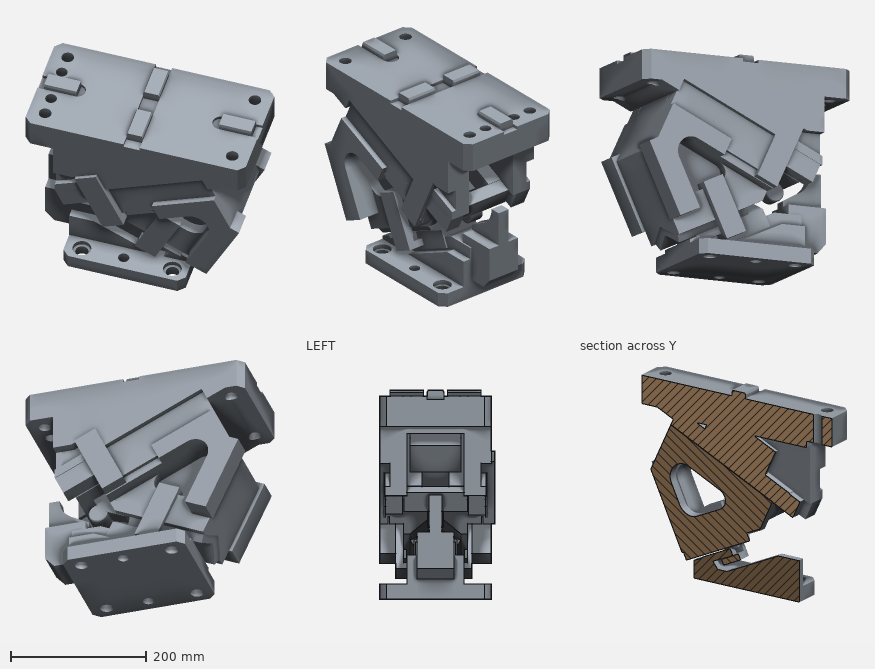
import cadquery as cq
import math



SLOPE = 25.0
TOTAL_HEIGHT = 309.0
PLATE_WIDTH = 165.0
PLATE_HALF = PLATE_WIDTH / 2
PLATE_CORNER = 10.2
FAR = 408.0

HOLDER_LENGTH = 340.0
HOLDER_TOP = 300.2
HOLDER_PLATE_BOTTOM = 255.0
LEG_LEFT_X = -124.5
RAIL_TOP = 190.7
RAIL_BOTTOM = 160.0
RAIL_START = -48.0
FAR_RAIL_START = -45.5
RAIL_END = 205.7
RAIL_INNER = 48.5
RAIL_OUTER = 73.8
LEG_OUTER = 74.8
TAIL_BOTTOM = 171.0
GROOVE_BOTTOM = 203.5
GROOVE_TOP = 222.7
GROOVE_FLOOR_Y = 67.3
GROOVE_ENTRY_TOP = 201.0
CHANNEL_HALF = 42.0
CHANNEL_ROOF = 244.8
CENTRE_RAIL_HALF = 47.0
CENTRE_RAIL_START = -35.7
LIP_END = -15.0
CHANNEL_FLOOR = 191.8
SLOT_END = 34.5
SLOT_HALF = 19.7
STOP_START = 33.3
STOP_END = 153.0
STOP_HALF = 37.5
STOP_TOP = 235.3

KEYWAY_FLOOR = 295.0
KEY_WIDTH = 25.0
KEY_LENGTH = 50.0
KEY_CHAMFER_INSET = 1.7
KEY_CHAMFER_DROP = 3.5
CROSS_KEYWAY_X = -3.5
CROSS_KEY_Y = 42.5
END_KEY_X = 135.0
KEYWAY_ROUND_X = {-1: -112.2, 1: 109.5}

BOLT_X = 144.5
BOLT_Y = 57.5
BOLT_DIAMETER = 18.7
DOWEL_Y = 27.2
DOWEL_DIAMETER = 17.5

SLIDER_START = 4.8
SHOULDER_HALF = RAIL_OUTER
SHOULDER_BOTTOM = 132.3
STEP_HALF = 67.5
STEP_BOTTOM = 120.7
CORE_HALF = 47.3
CORE_BOTTOM = 70.7
CORE_END = 74.0
WING_ARM_START = 100.0
WING_ARM_TOP = 148.2
WING_START = 44.0
WING_END = 79.2
WING_BOTTOM = 95.2
WING_TOP = 215.0
WING_ROUND = 23.5
POCKET_BOTTOM = 119.7
POCKET_END = 46.0
POCKET_LEFT_ROUND = 16.3
POCKET_DEPTH = 17.0
V_PLATE_START = -54.5
V_PLATE_END = 71.5
V_PLATE_THICKNESS = 12.5
PULL_HOOK_HALF = 12.0
PULL_HOOK_ROOT = 8.5
PULL_HOOK_X = -77.2
PULL_HOOK_Z = 120.5
PULL_HOOK_RADIUS = 14.5
PULL_HOOK_CHAMFER = 1.5
PULL_HOOK_TOP = 156.5
PULL_HOOK_BOTTOM = 82.0

UPPER_KEEPER_END = 40.5
UPPER_KEEPER_INNER = 75.8
KEEPER_EXTRA = 5.0
UPPER_KEEPER_OUTER = {-1: PLATE_HALF + KEEPER_EXTRA, 1: PLATE_HALF}
UPPER_KEEPER_HOOK_Y = 70.0
LOWER_KEEPER_START = -25.5
LOWER_KEEPER_END = 9.0
LOWER_KEEPER_BOTTOM = 38.0
LOWER_KEEPER_TOP = 129.0
LOWER_KEEPER_HALF = 53.7
LOWER_KEEPER_OUTER = {-1: LOWER_KEEPER_HALF, 1: LOWER_KEEPER_HALF + KEEPER_EXTRA}
LOWER_KEEPER_ROOT_Y = 36.0
LOWER_PAD_INSET = 3.7
LOWER_PAD_BOTTOM = 56.0
LOWER_PAD_INNER = 42.5

BASE_LEFT_X = -112.0
BASE_RIGHT_X = 77.2
BASE_HEIGHT = 22.8
PEDESTAL_HALF = 42.0
PEDESTAL_TOP = 65.5
PEDESTAL_SLOPE = 28.2
SPINE_HALF = 29.5
SPINE_TOP = 84.5
SPINE_SLOPE = 48.3
RIDGE_ANGLE = 30.0
RIDGE_APEX = 78.0
HEAD_HALF = 32.0
HEAD_START = -80.2
HEAD_END = 40.8
HEAD_BOTTOM = 31.3
FLANGE_START = -14.5
FLANGE_BOTTOM = SPINE_SLOPE
FLANGE_ROOT_END = 24.5
FLANGE_ROOT_FOOT_X = 34.0
TAIL_TOP = 58.0
STOP_BLOCK_LEFT_X = -153.7
STOP_BLOCK_RIGHT_X = -91.5
STOP_BLOCK_HALF = 27.2
STOP_BLOCK_BOTTOM = 30.3
STOP_BLOCK_TOP = 99.5
STOP_BLOCK_BEVEL_X = 14.0
STOP_BLOCK_BEVEL_Z = 15.5
RIB_HALF = 9.5
RIB_TOP = 154.0
RIB_TOP_LENGTH = 16.5
RIB_END_Z = 108.0
RIB_ROUND = 35.5
RIB_SLOPE = 29.0
BASE_BOLT_X = (-86.5, 53.5)
BASE_HOLE_Y = 62.0
BASE_BOLT_DIAMETER = 19.7
BASE_BOLT_HEAD_DIAMETER = 28.0
BASE_BOLT_HEAD_DEPTH = 7.0
BASE_DOWEL_X = -21.8
BASE_DOWEL_DIAMETER = 16.5

COS = math.cos(math.radians(SLOPE))
SIN = math.sin(math.radians(SLOPE))
TAN_RIDGE = math.tan(math.radians(RIDGE_ANGLE))
SIDES = (-1, 1)

UPRIGHT = cq.Plane(origin=(0, 0, 0), xDir=(1, 0, 0), normal=(0, -1, 0))
SLIDE = cq.Plane(origin=(0, 0, 0), xDir=(COS, 0, SIN), normal=(0, -1, 0))
DRIVE = cq.Plane(origin=(0, 0, 0), xDir=(COS, 0, -SIN), normal=(0, -1, 0))
RIDGE_SECTION = cq.Plane(origin=(0, 0, 0), xDir=(0, 1, 0), normal=(COS, 0, -SIN))


def slab(plane, points, y_range):
    """Prism between two Y values, with its outline given in an upright plane."""
    low, high = sorted(y_range)
    return cq.Workplane(plane).workplane(offset=-high).polyline(points).close().extrude(high - low)


def block(plane, along, height, y_range):
    """Rectangular prism between two Y values, square to an upright plane's axes."""
    (a0, a1), (h0, h1) = along, height
    return slab(plane, [(a0, h0), (a1, h0), (a1, h1), (a0, h1)], y_range)


def centred(half_width):
    return (-half_width, half_width)


def on_side(side, inner, outer):
    return (side * inner, side * outer)


def drive_x(z, height):
    """X of the point at Z on a line parallel to the ridge."""
    return (height - z * COS) / SIN


def drive_point(along, height):
    """X and Z of a drive-frame point."""
    return (along * COS + height * SIN, height * COS - along * SIN)


def ridge_height(y):
    return RIDGE_APEX - abs(y) * TAN_RIDGE


def cornered_plate(left, right, bottom, top):
    """Plate with chamfered upright corners."""
    plate = block(UPRIGHT, (left, right), (bottom, top), centred(PLATE_HALF))
    return plate.edges("|Z").chamfer(PLATE_CORNER)


def upright_hole(x, y, diameter, bottom, top):
    return cq.Workplane("XY", origin=(x, y, bottom)).circle(diameter / 2).extrude(top - bottom)


def key():
    """Key along X, centred on the origin in X and Y, standing on the keyway floor."""
    half = KEY_WIDTH / 2
    flat = half - KEY_CHAMFER_INSET
    edge = TOTAL_HEIGHT - KEY_CHAMFER_DROP
    outline = [
        (-half, KEYWAY_FLOOR), (half, KEYWAY_FLOOR), (half, edge),
        (flat, TOTAL_HEIGHT), (-flat, TOTAL_HEIGHT), (-half, edge),
    ]
    return cq.Workplane("YZ").polyline(outline).close().extrude(KEY_LENGTH / 2, both=True)


def add_keys(body):
    """Cut the keyways into the plate top and seat the four keys in them."""
    half = KEY_WIDTH / 2
    depth = (KEYWAY_FLOOR, TOTAL_HEIGHT)
    body = body.cut(block(
        UPRIGHT, (CROSS_KEYWAY_X - half, CROSS_KEYWAY_X + half), depth, centred(PLATE_HALF)))
    for side in SIDES:
        round_x = KEYWAY_ROUND_X[side]
        body = body.cut(block(UPRIGHT, sorted((round_x, side * FAR)), depth, centred(half)))
        body = body.cut(upright_hole(round_x, 0, KEY_WIDTH, *depth))
    cross_key = key().rotate((0, 0, 0), (0, 0, 1), 90)
    for side in SIDES:
        body = body.union(key().translate((side * END_KEY_X, 0, 0)))
        body = body.union(cross_key.translate((CROSS_KEYWAY_X, side * CROSS_KEY_Y, 0)))
    return body


def holder_blank():
    """Plate with the legs below it, cut to the slope of the rails."""
    plate = cornered_plate(-HOLDER_LENGTH / 2, HOLDER_LENGTH / 2, HOLDER_PLATE_BOTTOM, HOLDER_TOP)
    room = block(UPRIGHT, (LEG_LEFT_X, FAR), (0, HOLDER_PLATE_BOTTOM), centred(PLATE_HALF))
    rails = block(SLIDE, (RAIL_START, RAIL_END), (RAIL_BOTTOM, FAR), centred(PLATE_HALF))
    tail = block(SLIDE, (RAIL_END, FAR), (TAIL_BOTTOM, FAR), centred(PLATE_HALF))
    return plate.union(rails.union(tail).intersect(room))


def cut_rail_sides(body):
    """Narrow the rails and cut the keeper grooves on both sides."""
    for side in SIDES:
        reach = (-FAR, UPPER_KEEPER_END)
        outside = on_side(side, LEG_OUTER, FAR)
        groove = on_side(side, GROOVE_FLOOR_Y, FAR)
        body = body.cut(block(SLIDE, (-FAR, RAIL_END), (0, RAIL_TOP), on_side(side, RAIL_OUTER, FAR)))
        body = body.cut(block(SLIDE, reach, (0, GROOVE_BOTTOM), outside))
        body = body.cut(block(SLIDE, reach, (GROOVE_BOTTOM, GROOVE_TOP), groove))
        entry = block(UPRIGHT, (-FAR, 0), (0, GROOVE_ENTRY_TOP), groove)
        body = body.cut(entry.intersect(block(SLIDE, reach, (GROOVE_BOTTOM, FAR), groove)))
    return body.cut(block(SLIDE, (-FAR, FAR_RAIL_START), (0, RAIL_TOP), (0, FAR)))


def cut_channel(body):
    """Open a channel between the legs, with a slotted centre rail below and a stop block in it."""
    width = centred(CHANNEL_HALF)
    channel = block(SLIDE, (-FAR, LIP_END), (RAIL_TOP, FAR), width)
    channel = channel.union(block(SLIDE, (LIP_END, RAIL_END), (CHANNEL_FLOOR, FAR), width))
    body = body.cut(channel.intersect(block(UPRIGHT, (-FAR, FAR), (0, CHANNEL_ROOF), width)))
    body = body.cut(block(SLIDE, (-FAR, RAIL_END), (0, RAIL_TOP), centred(RAIL_INNER)))
    body = body.union(block(
        SLIDE, (CENTRE_RAIL_START, RAIL_END), (RAIL_BOTTOM, RAIL_TOP), centred(CENTRE_RAIL_HALF)))
    body = body.cut(block(SLIDE, (LIP_END, SLOT_END), (0, CHANNEL_FLOOR), centred(SLOT_HALF)))
    return body.union(block(SLIDE, (STOP_START, STOP_END), (CHANNEL_FLOOR, STOP_TOP), centred(STOP_HALF)))


def drill_holder(body):
    for side in SIDES:
        places = [
            (-BOLT_X, BOLT_Y, BOLT_DIAMETER),
            (BOLT_X, BOLT_Y, BOLT_DIAMETER),
            (-BOLT_X, DOWEL_Y, DOWEL_DIAMETER),
        ]
        for x, y, diameter in places:
            body = body.cut(upright_hole(x, side * y, diameter, 0, HOLDER_TOP))
    return body


def make_holder():
    body = cut_channel(cut_rail_sides(holder_blank()))
    return add_keys(drill_holder(body))


def slider_blank():
    """Core between the end face and the ridge, with stepped shoulders under the rails."""
    run = (SLIDER_START, RAIL_END)
    core = block(SLIDE, run, (-FAR, RAIL_BOTTOM), centred(CORE_HALF))
    core = core.intersect(block(DRIVE, (-FAR, CORE_END), (CORE_BOTTOM, FAR), centred(CORE_HALF)))
    body = core.union(block(SLIDE, run, (STEP_BOTTOM, RAIL_BOTTOM), centred(STEP_HALF)))
    body = body.union(block(SLIDE, run, (SHOULDER_BOTTOM, RAIL_BOTTOM), centred(SHOULDER_HALF)))
    return body


def wing(side):
    """Bent cheek on one side: an arm along the rails and a leg square to the ridge."""
    y_range = on_side(side, CORE_HALF, PLATE_HALF)
    bend = block(SLIDE, (WING_ARM_START, RAIL_END), (-FAR, WING_ARM_TOP), y_range)
    bend = bend.intersect(block(DRIVE, (-FAR, WING_END), (WING_BOTTOM, FAR), y_range))
    bend = bend.union(block(DRIVE, (WING_START, WING_END), (WING_BOTTOM, WING_TOP), y_range))
    opening = block(SLIDE, (-FAR, FAR), (-FAR, STEP_BOTTOM), y_range)
    opening = opening.intersect(block(DRIVE, (-FAR, WING_START), (-FAR, FAR), y_range))
    opening = opening.edges("|Y").edges(">X").fillet(WING_ROUND)
    return bend.cut(opening)


def pocket(side):
    """Three-cornered blind pocket in the side of the core, inside the bend of the wing."""
    y_range = on_side(side, CORE_HALF - POCKET_DEPTH, CORE_HALF)
    shape = block(SLIDE, (-FAR, FAR), (-FAR, STEP_BOTTOM), y_range)
    shape = shape.intersect(block(DRIVE, (-FAR, POCKET_END), (POCKET_BOTTOM, FAR), y_range))
    shape = shape.edges("|Y").edges(">Z or <Z").fillet(WING_ROUND)
    return shape.edges("|Y").edges("<X").fillet(POCKET_LEFT_ROUND)


def ridge_prism(outline, start, end):
    """Prism along the ridge, with its outline given across the ridge."""
    return cq.Workplane(RIDGE_SECTION).workplane(offset=start).polyline(outline).close().extrude(end - start)


def v_seat(body):
    """Hollow the core's underside to a roof shape and line it with a V plate."""
    roof_apex = RIDGE_APEX + V_PLATE_THICKNESS / math.cos(math.radians(RIDGE_ANGLE))
    roof_half = (roof_apex - CORE_BOTTOM) / TAN_RIDGE
    plate_half = roof_half - V_PLATE_THICKNESS * math.sin(math.radians(RIDGE_ANGLE))
    roof = [(-roof_half, CORE_BOTTOM), (0, roof_apex), (roof_half, CORE_BOTTOM)]
    lining = roof + [
        (plate_half, ridge_height(plate_half)), (0, RIDGE_APEX), (-plate_half, ridge_height(plate_half))]
    body = body.cut(ridge_prism(roof, -FAR, FAR))
    return body.union(ridge_prism(lining, V_PLATE_START, V_PLATE_END))


def pull_hook():
    """Round-nosed finger standing out of the slider's end face."""
    y_range = centred(PULL_HOOK_HALF)
    arm = block(SLIDE, (-FAR, SLIDER_START + PULL_HOOK_ROOT), (0, PULL_HOOK_TOP), y_range)
    arm = arm.intersect(block(DRIVE, (-FAR, FAR), (PULL_HOOK_BOTTOM, FAR), y_range))
    arm = arm.intersect(block(UPRIGHT, (PULL_HOOK_X, FAR), (0, FAR), y_range))
    nose = cq.Workplane(UPRIGHT).center(PULL_HOOK_X, PULL_HOOK_Z).circle(PULL_HOOK_RADIUS)
    nose = nose.extrude(PULL_HOOK_HALF, both=True).edges().chamfer(PULL_HOOK_CHAMFER)
    return arm.union(nose)


def upper_keeper(side):
    """C-shaped plate from under the slider's shoulder into the holder's groove."""
    run = (SLIDER_START, UPPER_KEEPER_END)
    outer = UPPER_KEEPER_OUTER[side]
    plate = block(SLIDE, run, (STEP_BOTTOM, GROOVE_TOP), on_side(side, UPPER_KEEPER_INNER, outer))
    top_hook = block(SLIDE, run, (GROOVE_BOTTOM, GROOVE_TOP), on_side(side, GROOVE_FLOOR_Y, outer))
    foot = block(SLIDE, run, (STEP_BOTTOM, SHOULDER_BOTTOM), on_side(side, UPPER_KEEPER_HOOK_Y, outer))
    return plate.union(top_hook).union(foot)


def lower_keeper(side):
    """Plate on the side of the core with a foot under the driver's flange."""
    run = (LOWER_KEEPER_START, LOWER_KEEPER_END)
    outer = LOWER_KEEPER_OUTER[side]
    height = (LOWER_KEEPER_BOTTOM, LOWER_KEEPER_TOP)
    plate = block(DRIVE, run, height, on_side(side, CORE_HALF, outer))
    foot = block(DRIVE, run, (LOWER_KEEPER_BOTTOM, FLANGE_BOTTOM), on_side(side, HEAD_HALF, outer))
    pad_run = (LOWER_KEEPER_START + LOWER_PAD_INSET, LOWER_KEEPER_END - LOWER_PAD_INSET)
    pad = block(DRIVE, pad_run, (LOWER_PAD_BOTTOM, CORE_BOTTOM), on_side(side, LOWER_PAD_INNER, outer))
    root_height = (POCKET_BOTTOM, LOWER_KEEPER_TOP)
    root = block(DRIVE, run, root_height, on_side(side, LOWER_KEEPER_ROOT_Y, outer))
    return plate.union(foot).union(pad).union(root)


def make_slider():
    body = slider_blank()
    for side in SIDES:
        body = body.cut(pocket(side)).union(wing(side))
    body = v_seat(body).union(pull_hook())
    for side in SIDES:
        body = body.union(upper_keeper(side)).union(lower_keeper(side))
    return body


def base_plate():
    plate = cornered_plate(BASE_LEFT_X, BASE_RIGHT_X, 0, BASE_HEIGHT)
    for side in SIDES:
        y = side * BASE_HOLE_Y
        plate = plate.cut(upright_hole(BASE_DOWEL_X, y, BASE_DOWEL_DIAMETER, 0, BASE_HEIGHT))
        for x in BASE_BOLT_X:
            seat = BASE_HEIGHT - BASE_BOLT_HEAD_DEPTH
            plate = plate.cut(upright_hole(x, y, BASE_BOLT_DIAMETER, 0, BASE_HEIGHT))
            plate = plate.cut(upright_hole(x, y, BASE_BOLT_HEAD_DIAMETER, seat, BASE_HEIGHT))
    return plate


def sloped_step(top, slope, half_width):
    """Step on the base plate that is level at first and then falls with the ridge."""
    outline = [
        (BASE_LEFT_X, BASE_HEIGHT), (BASE_LEFT_X, top),
        (drive_x(top, slope), top), (drive_x(BASE_HEIGHT, slope), BASE_HEIGHT),
    ]
    room = block(UPRIGHT, (BASE_LEFT_X, BASE_RIGHT_X), (BASE_HEIGHT, FAR), centred(half_width))
    return slab(UPRIGHT, outline, centred(half_width)).intersect(room)


def ridge(start, end, bottom, half_width):
    """Length of the roof-shaped ridge."""
    edge = ridge_height(half_width)
    outline = [
        (-half_width, bottom), (-half_width, edge), (0, RIDGE_APEX),
        (half_width, edge), (half_width, bottom),
    ]
    return ridge_prism(outline, start, end)


def driver_tail():
    """Low flat-topped end that carries the flange."""
    end_z = (TAIL_TOP - BASE_RIGHT_X * SIN) / COS
    outline = [
        (FLANGE_ROOT_FOOT_X, BASE_HEIGHT), drive_point(FLANGE_ROOT_END, FLANGE_BOTTOM),
        drive_point(HEAD_END, FLANGE_BOTTOM), drive_point(HEAD_END, TAIL_TOP),
        (BASE_RIGHT_X, end_z), (BASE_RIGHT_X, BASE_HEIGHT),
    ]
    return slab(UPRIGHT, outline, centred(PEDESTAL_HALF))


def stop_block():
    """Block in front of the pedestal with a curved rib on its top."""
    left, right = STOP_BLOCK_LEFT_X, STOP_BLOCK_RIGHT_X
    bottom = STOP_BLOCK_BOTTOM
    outline = [
        (left, STOP_BLOCK_TOP), (left, bottom + STOP_BLOCK_BEVEL_Z), (left + STOP_BLOCK_BEVEL_X, bottom),
        (right, bottom), (right, STOP_BLOCK_TOP),
    ]
    return slab(UPRIGHT, outline, centred(STOP_BLOCK_HALF))


def stop_rib():
    """Rib whose top sweeps down in an arc and runs out in a straight slope."""
    left, right = STOP_BLOCK_LEFT_X, STOP_BLOCK_RIGHT_X
    sweep = math.radians(90 - RIB_SLOPE)
    arc_x = left + RIB_TOP_LENGTH + RIB_ROUND

    def arc_point(angle):
        return (arc_x - RIB_ROUND * math.cos(angle), RIB_TOP - RIB_ROUND * math.sin(angle))

    rib = cq.Workplane(UPRIGHT).moveTo(left, STOP_BLOCK_TOP).lineTo(left, RIB_TOP)
    rib = rib.lineTo(left + RIB_TOP_LENGTH, RIB_TOP).threePointArc(arc_point(sweep / 2), arc_point(sweep))
    rib = rib.lineTo(right, RIB_END_Z).lineTo(right, STOP_BLOCK_TOP).close()
    return rib.extrude(RIB_HALF, both=True)


def make_driver():
    body = base_plate()
    body = body.union(sloped_step(PEDESTAL_TOP, PEDESTAL_SLOPE, PEDESTAL_HALF))
    body = body.union(sloped_step(SPINE_TOP, SPINE_SLOPE, SPINE_HALF))
    body = body.union(ridge(HEAD_START, HEAD_END, HEAD_BOTTOM, HEAD_HALF))
    body = body.union(ridge(FLANGE_START, HEAD_END, FLANGE_BOTTOM, PEDESTAL_HALF))
    return body.union(driver_tail()).union(stop_block()).union(stop_rib())


holder = make_holder()
slider = make_slider()
driver = make_driver()

result = cq.Compound.makeCompound([holder.val(), slider.val(), driver.val()])